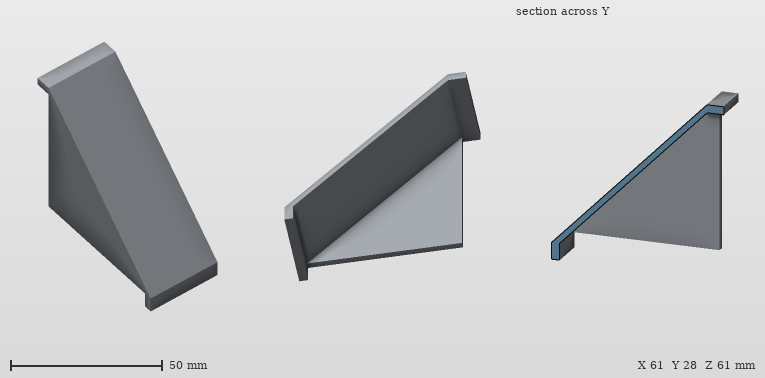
import cadquery as cq

overall = 61.0
width = 28.0
tab_length = 6.0
tab_thickness = 3.0
side_thickness = 2.0

leg = overall - tab_length
inner_leg = leg - tab_thickness


def extrude_from_front(points, depth):
    """Extrude an XZ outline from the -Y face (y = 0) toward +Y."""
    return cq.Workplane("XZ").polyline(points).close().extrude(-depth)


sheet = extrude_from_front(
    [
        (-tab_length, leg),
        (0, leg),
        (leg, 0),
        (leg, -tab_length),
        (inner_leg, -tab_length),
        (inner_leg, 0),
        (0, inner_leg),
        (-tab_length, inner_leg),
    ],
    width,
)

side_wall = extrude_from_front([(0, 0), (leg, 0), (0, leg)], side_thickness)

result = sheet.union(side_wall)